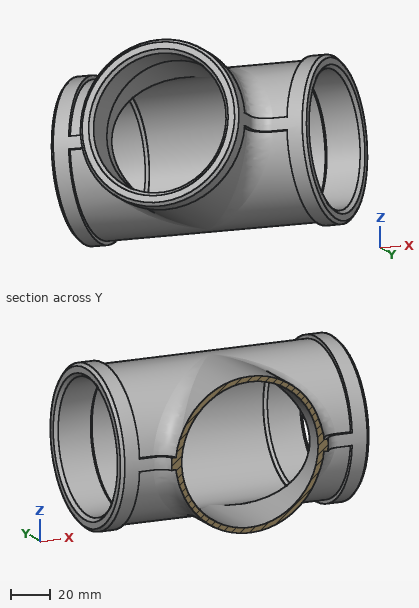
import cadquery as cq
run_length = 139.0
branch_reach = 69.5

body_diameter = 82.3
junction_fillet = 10.0
rib_width = 6.7

collar_diameter = 86.5
collar_width = 10.0
collar_chamfer = 1.7

socket_diameter = 72.3
socket_depth = 20.0
cavity_diameter = 76.0
mouth_diameter = 76.0
flare_length = 1.5

body_radius = body_diameter / 2
collar_radius = collar_diameter / 2
socket_radius = socket_diameter / 2
mouth_radius = mouth_diameter / 2
mouth_chamfer = mouth_radius - socket_radius
run_reach = run_length / 2
rib_fillet = junction_fillet - (collar_radius - body_radius)

PORTS = [
    (cq.Vector(1, 0, 0), run_reach),
    (cq.Vector(-1, 0, 0), run_reach),
    (cq.Vector(0, -1, 0), branch_reach),
]


def plain_tee(radius, run_half, branch_end):
    """Solid tee of equal cylinders: a run along X and a branch towards -Y."""
    run = cq.Workplane("YZ").circle(radius).extrude(run_half, both=True)
    branch = cq.Workplane("XZ").circle(radius).extrude(branch_end)
    return run.union(branch)


def blended_tee(radius, fillet):
    """Tee between the collars with the seam of run and branch rounded."""
    tee = plain_tee(radius, run_reach - collar_width, branch_reach - collar_width)
    return tee.edges("%ELLIPSE").fillet(fillet)


def ribs():
    """Flat web in the plane of the axes, level with the collars."""
    web = cq.Workplane("XY").box(2 * run_length, 2 * run_length, rib_width)
    return blended_tee(collar_radius, rib_fillet).intersect(web)


def turned_at_port(profile, direction, reach):
    """Revolve (radius, inset from the port face) points about the axis of a port."""
    plane = cq.Plane(
        origin=(direction * reach).toTuple(),
        xDir=(0, 0, 1),
        normal=cq.Vector(0, 0, 1).cross(direction * -1).toTuple(),
    )
    return cq.Workplane(plane).polyline(profile).close().revolve(360, (0, 0), (0, 1))


def collar(direction, reach):
    """Ring round a port with its outer rim chamfered."""
    profile = [
        (0, 0),
        (collar_radius - collar_chamfer, 0),
        (collar_radius, collar_chamfer),
        (collar_radius, collar_width),
        (0, collar_width),
    ]
    return turned_at_port(profile, direction, reach)


def socket(direction, reach):
    """Bore of a port with a chamfered mouth and a 45 degree flare at its inner end."""
    profile = [
        (0, 0),
        (mouth_radius, 0),
        (socket_radius, mouth_chamfer),
        (socket_radius, socket_depth),
        (socket_radius + flare_length, socket_depth + flare_length),
        (0, socket_depth + flare_length),
    ]
    return turned_at_port(profile, direction, reach)


result = blended_tee(body_radius, junction_fillet).union(ribs())
for port in PORTS:
    result = result.union(collar(*port))

cavity_inset = socket_depth + flare_length
result = result.cut(plain_tee(cavity_diameter / 2, run_reach - cavity_inset, branch_reach - cavity_inset))
for port in PORTS:
    result = result.cut(socket(*port))